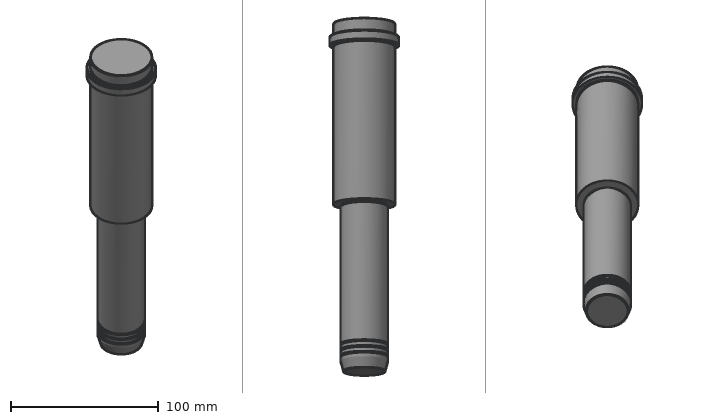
import cadquery as cq
import math

total_length = 240.0

body_radius = 42.0 / 2
body_bottom_z = 115.5
head_height = 9.0
head_chamfer = 0.5

collar_radius = 47.0 / 2
collar_height = 6.0
collar_chamfer = 0.7

upper_relief_height = 0.7
lower_relief_height = 1.2
relief_depth = 0.6

pillar_radius = 16.0
neck_radius = 15.0
neck_height = 1.5
nose_angle = 15.0
nose_height = 7.2
tip_chamfer = 0.5

groove_count = 3
groove_first_z = 10.5
groove_pitch = 3.98
groove_height = 1.2
groove_depth = 0.7

collar_top_z = total_length - head_height
collar_bottom_z = collar_top_z - collar_height
nose_taper = (nose_height - tip_chamfer) * math.tan(math.radians(nose_angle))
nose_radius = pillar_radius - nose_taper


def cylinder(radius, bottom_z, height):
    """Solid cylinder on the Z axis."""
    return cq.Workplane("XY").workplane(offset=bottom_z).circle(radius).extrude(height)


def revolve_about_z(profile):
    """Full revolution of a closed XZ profile about the Z axis."""
    return profile.revolve(360, (0, 0, 0), (0, 1, 0))


def v_groove(radius, middle_z, height, depth):
    """Ring of triangular section that cuts a V groove into a cylinder."""
    section = (
        cq.Workplane("XZ")
        .moveTo(radius, middle_z - height / 2)
        .lineTo(radius, middle_z + height / 2)
        .lineTo(radius - depth, middle_z)
        .close()
    )
    return revolve_about_z(section)


def make_body():
    """Thick body and head, with a broken top edge and a groove on each side of the collar."""
    body = cylinder(body_radius, body_bottom_z, total_length - body_bottom_z)
    body = body.faces(">Z").chamfer(head_chamfer)
    upper_relief_z = collar_top_z + upper_relief_height / 2
    lower_relief_z = collar_bottom_z - lower_relief_height / 2
    body = body.cut(v_groove(body_radius, upper_relief_z, upper_relief_height, relief_depth))
    return body.cut(v_groove(body_radius, lower_relief_z, lower_relief_height, relief_depth))


def make_collar():
    """Disc around the body with a chamfered upper edge."""
    shoulder_z = collar_top_z - collar_chamfer
    profile = (
        cq.Workplane("XZ")
        .moveTo(0, collar_bottom_z)
        .lineTo(collar_radius, collar_bottom_z)
        .lineTo(collar_radius, shoulder_z)
        .lineTo(collar_radius - collar_chamfer, collar_top_z)
        .lineTo(0, collar_top_z)
        .close()
    )
    return revolve_about_z(profile)


def make_pillar():
    """Grooved pillar with a neck at the top and a conical, chamfered nose at the bottom."""
    neck_bottom_z = body_bottom_z - neck_height
    profile = (
        cq.Workplane("XZ")
        .lineTo(nose_radius - tip_chamfer, 0)
        .lineTo(nose_radius, tip_chamfer)
        .lineTo(pillar_radius, nose_height)
        .lineTo(pillar_radius, neck_bottom_z)
        .lineTo(neck_radius, neck_bottom_z)
        .lineTo(neck_radius, body_bottom_z)
        .lineTo(0, body_bottom_z)
        .close()
    )
    pillar = revolve_about_z(profile)
    for index in range(groove_count):
        groove_z = groove_first_z + index * groove_pitch
        pillar = pillar.cut(v_groove(pillar_radius, groove_z, groove_height, groove_depth))
    return pillar


result = make_pillar().union(make_body()).union(make_collar())